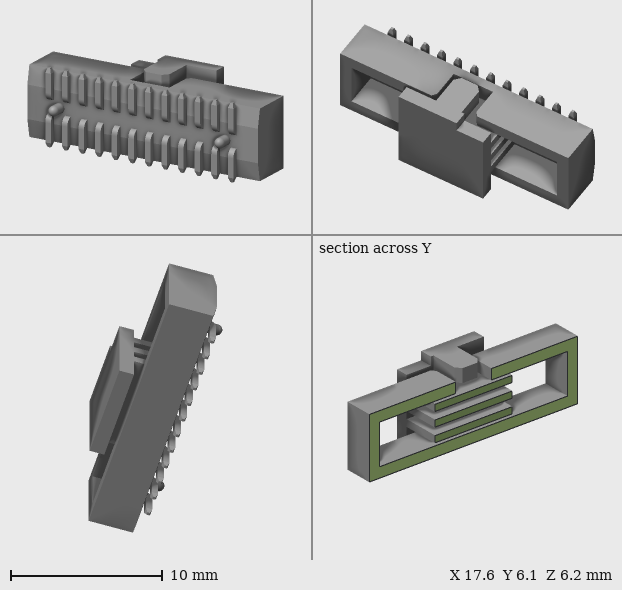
import cadquery as cq
import math


housing_length = 17.65
housing_depth = 3.32
housing_height = 5.05
taper_depth = 0.26
mounting_band_height = 2.4
wall = 0.88
cavity_depth = 2.4
notch_width = 3.04
notch_lead_x = 0.25
notch_lead_y = 0.32

contact_count = 12
contact_pitch = 1.27
tail_width = 0.42
tail_thickness = 0.42
tail_inner_z = 0.46
tail_straight_z = 1.02
tail_tip_z = 2.75
tip_length = 0.34
tip_inset = 0.115

peg_diameter = 0.72
peg_length = 1.11
peg_spacing = (contact_count - 2) * contact_pitch

cap_width = 6.53
cap_height = 6.2
plate_gap = 0.67
plate_thickness = 1.0
corner_cut_x = -1.22
corner_cut_height = 0.69
tab_width = 1.98
tab_thickness = 1.11
tab_insertion = 1.92
tab_corner_x = 0.37
tab_corner_y = 0.42
rib_count = 3
rib_thickness = 0.58
rib_pitch = 1.16
rib_insertion = 2.31
rib_tip_length = 0.1
rib_tip_drop = 0.02

housing_top = housing_height / 2
plate_front = housing_depth + plate_gap
plate_back = plate_front + plate_thickness
cap_top = cap_height / 2


def block(x_range, y_range, z_range):
    """Box between the given limits."""
    x0, x1 = x_range
    y0, y1 = y_range
    z0, z1 = z_range
    return cq.Workplane("XY").box(x1 - x0, y1 - y0, z1 - z0, centered=False).translate((x0, y0, z0))


def prism_along_x(profile, width):
    """Extrude a closed YZ profile by width, centred on X = 0."""
    return profile.extrude(width / 2, both=True)


def housing_shell():
    band = mounting_band_height / 2
    profile = (
        cq.Workplane("YZ")
        .moveTo(0, -band)
        .lineTo(0, band)
        .lineTo(taper_depth, housing_top)
        .lineTo(housing_depth, housing_top)
        .lineTo(housing_depth, -housing_top)
        .lineTo(taper_depth, -housing_top)
        .close()
    )
    return prism_along_x(profile, housing_length)


def shroud_cavity():
    half_x = housing_length / 2 - wall
    half_z = housing_top - wall
    return block(
        (-half_x, half_x), (housing_depth - cavity_depth, housing_depth), (-half_z, half_z)
    )


def tab_notch():
    """Slot through the top wall, widened at its mouth, ending at the cavity floor."""
    half = notch_width / 2
    mouth = half + notch_lead_x
    floor = housing_depth - cavity_depth
    return (
        cq.Workplane("XY")
        .polyline([
            (-half, floor),
            (half, floor),
            (half, housing_depth - notch_lead_y),
            (mouth, housing_depth),
            (-mouth, housing_depth),
            (-half, housing_depth - notch_lead_y),
        ])
        .close()
        .extrude(housing_top)
    )


def upper_tail():
    """One contact tail of the upper row at X = 0: bent root, straight run and tapered tip."""
    shoulder = tail_tip_z - tip_length
    profile = (
        cq.Workplane("YZ")
        .moveTo(0, tail_inner_z)
        .lineTo(0, shoulder)
        .lineTo(-tail_thickness, shoulder)
        .lineTo(-tail_thickness, tail_straight_z)
        .tangentArcPoint((0, tail_inner_z), relative=False)
        .close()
    )
    tip = (
        cq.Workplane("XY", origin=(0, -tail_thickness / 2, shoulder))
        .rect(tail_width, tail_thickness)
        .extrude(tip_length, taper=math.degrees(math.atan2(tip_inset, tip_length)))
    )
    return prism_along_x(profile, tail_width).union(tip)


def peg():
    """Round-nosed peg at X = 0, pointing towards -Y."""
    radius = peg_diameter / 2
    return (
        cq.Workplane("XY")
        .lineTo(radius, 0)
        .lineTo(radius, radius - peg_length)
        .tangentArcPoint((0, -peg_length), relative=False)
        .close()
        .revolve(360, (0, 0), (0, 1))
    )


def make_housing():
    body = housing_shell().cut(shroud_cavity()).cut(tab_notch())
    tail = upper_tail()
    lower_tail = tail.mirror("XY")
    for index in range(contact_count):
        x = (index - (contact_count - 1) / 2) * contact_pitch
        body = body.union(tail.translate((x, 0, 0)))
        body = body.union(lower_tail.translate((x, 0, 0)))
    for x in (-peg_spacing / 2, peg_spacing / 2):
        body = body.union(peg().translate((x, 0, 0)))
    return body


def cap_plate():
    half = cap_width / 2
    plate = block((-half, half), (plate_front, plate_back), (-cap_top, cap_top))
    cut_bottom = cap_top - corner_cut_height
    corner = block((-half, corner_cut_x), (plate_front, plate_back), (cut_bottom, cap_top))
    return plate.cut(corner)


def cap_tab():
    """Tongue with cut corners that reaches from the plate into the notch."""
    half = tab_width / 2
    end = housing_depth - tab_insertion
    return (
        cq.Workplane("XY", origin=(0, 0, cap_top - tab_thickness))
        .polyline([
            (half, plate_front),
            (half, end + tab_corner_y),
            (half - tab_corner_x, end),
            (tab_corner_x - half, end),
            (-half, end + tab_corner_y),
            (-half, plate_front),
        ])
        .close()
        .extrude(tab_thickness)
    )


def cap_rib():
    """One rib at Z = 0, slightly thinner at its tip inside the cavity."""
    half = rib_thickness / 2
    tip_half = half - rib_tip_drop
    end = housing_depth - rib_insertion
    profile = (
        cq.Workplane("YZ")
        .polyline([
            (end, -tip_half),
            (end, tip_half),
            (end + rib_tip_length, half),
            (plate_front, half),
            (plate_front, -half),
            (end + rib_tip_length, -half),
        ])
        .close()
    )
    return prism_along_x(profile, cap_width)


def make_cap():
    body = cap_plate().union(cap_tab())
    for index in range(rib_count):
        z = (index - (rib_count - 1) / 2) * rib_pitch
        body = body.union(cap_rib().translate((0, 0, z)))
    return body


housing = make_housing()
cap = make_cap()
result = cq.Compound.makeCompound([housing.val(), cap.val()])